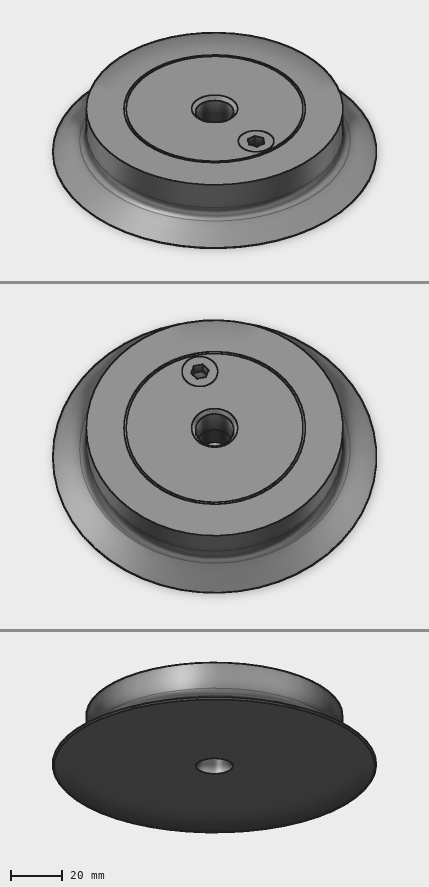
import cadquery as cq
import math

cup_height = 21.4
rim_radius = 62.5
rim_edge_height = 0.8
rim_undercut = 0.6
hub_radius = 49.5
neck_radius = 5.0
skirt_angle = math.radians(27.5)

plate_radius = 35.0
plate_thickness = 12.5
plate_step_width = 0.9
plate_step_depth = 0.06
plate_bottom = cup_height - plate_thickness

bore_radius = 7.1
bore_top_radius = 7.4
bore_chamfer = 1.5

plug_offset = 26.5
plug_radius = 6.9
socket_across_flats = 6.0
socket_depth = 5.0


def revolve_about_z(profile):
    """Turn a closed radius-height profile a full revolution about Z."""
    return profile.close().revolve(360, (0, 0, 0), (0, 1, 0))


def make_cup():
    """Flared cup with the plate pocket and the lower part of the bore."""
    neck_turn = math.pi / 2 - skirt_angle
    neck_center_radius = hub_radius + neck_radius
    neck_foot_radius = neck_center_radius - neck_radius * math.cos(neck_turn)
    neck_foot_height = rim_edge_height + (rim_radius - neck_foot_radius) * math.tan(skirt_angle)
    neck_top_height = neck_foot_height + neck_radius * math.sin(neck_turn)
    neck_middle = (
        neck_center_radius - neck_radius * math.cos(neck_turn / 2),
        neck_top_height - neck_radius * math.sin(neck_turn / 2),
    )
    profile = (
        cq.Workplane("XZ")
        .moveTo(bore_radius, 0)
        .lineTo(rim_radius - rim_undercut, 0)
        .lineTo(rim_radius, rim_edge_height)
        .lineTo(neck_foot_radius, neck_foot_height)
        .threePointArc(neck_middle, (hub_radius, neck_top_height))
        .lineTo(hub_radius, cup_height)
        .lineTo(plate_radius, cup_height)
        .lineTo(plate_radius, plate_bottom)
        .lineTo(bore_radius, plate_bottom)
    )
    return revolve_about_z(profile)


def make_plug_blank():
    """Cylinder as thick as the plate, at the place of the plug."""
    return (
        cq.Workplane("XY")
        .workplane(offset=plate_bottom)
        .center(plug_offset, 0)
        .circle(plug_radius)
        .extrude(plate_thickness)
    )


def make_plate():
    """Round plate with the chamfered bore, the edge step and the hole for the plug."""
    profile = (
        cq.Workplane("XZ")
        .moveTo(bore_radius, plate_bottom)
        .lineTo(plate_radius, plate_bottom)
        .lineTo(plate_radius, cup_height - plate_step_depth)
        .lineTo(plate_radius - plate_step_width, cup_height - plate_step_depth)
        .lineTo(plate_radius - plate_step_width, cup_height)
        .lineTo(bore_top_radius + bore_chamfer, cup_height)
        .lineTo(bore_top_radius, cup_height - bore_chamfer)
    )
    return revolve_about_z(profile).cut(make_plug_blank())


def make_plug():
    """Cylindrical plug with a blind hexagon socket, corners along Y."""
    socket = (
        cq.Workplane("XY")
        .workplane(offset=cup_height - socket_depth)
        .center(plug_offset, 0)
        .polygon(6, socket_across_flats, circumscribed=True)
        .extrude(socket_depth)
    )
    return make_plug_blank().cut(socket)


cup = make_cup()
plate = make_plate()
plug = make_plug()

result = cq.Compound.makeCompound([cup.val(), plate.solids().val(), plug.solids().val()])